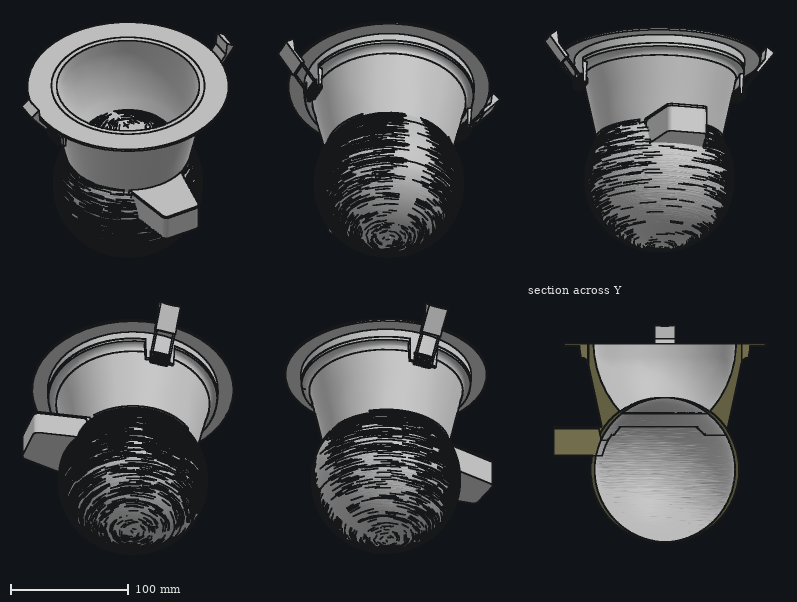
import cadquery as cq
import math


flange_radius = 172.0 / 2
flange_thickness = 2.0
flange_bore_radius = 131.0 / 2
rim_top_radius = 72.9
rim_shoulder_z = -9.2
rim_bottom_radius = 72.0
rim_bottom_z = -12.0
flare_radius = 6.0
flare_lip = 0.2

post_inner_radius = 137.0 / 2
post_tip_inner_radius = 69.0
post_tip_radius = 71.5
post_top_width = 26.3
post_tip_width = 24.7
post_tip_z = -30.0
notch_clearance = 0.2
notch_top_z = -22.0

housing_radius = 130.8 / 2
cone_top_z = rim_bottom_z - flare_radius
cone_bottom_radius = 54.0
cone_bottom_z = -71.0
bowl_mouth_radius = 61.0
bowl_mid_radius = 52.2
bowl_mid_z = -37.0
bowl_hole_radius = 74.7 / 2
bowl_hole_z = -59.1
left_skirt_width = 79.6
right_skirt_width = 58.5

ball_radius = 60.0
ball_half_height = 61.7
ball_bottom_z = -169.5
ball_center_z = ball_bottom_z + ball_half_height

bracket_wall = 3.0
bracket_lid = 1.8
tab_end_x = 95.0
tab_bottom_z = -95.5
tab_end_half_width = 17.0
tab_side_angle = math.radians(10)
tab_corner_radius = 4.8

coil_center_y = 69.7
coil_center_z = -27.7
leg_angle = math.degrees(math.atan2(4, 3))
wire_radius = 1.5 / 2
coil_radius = 3.8
coil_turns = 7
coil_length = 16.0
pad_width = 18.0
pad_start = 24.3
pad_bend = 38.2
pad_end = 48.4
pad_outer_offset = -1.04
pad_inner_offset = 2.2
pad_tip_offset = 8.2
pad_end_hollow = 0.5

notch_width = coil_length + 2 * wire_radius + notch_clearance
tab_height = cone_bottom_z - tab_bottom_z
cone_slope = (housing_radius - cone_bottom_radius) / (cone_top_z - cone_bottom_z)


def cone_radius(z):
    """Outer radius of the housing cone at height z."""
    return cone_bottom_radius + cone_slope * (z - cone_bottom_z)


def revolve_profile(profile):
    """Revolve a closed radius-height profile about the Z axis."""
    return profile.close().revolve(360, (0, 0, 0), (0, 1, 0))


def cone_solid(top_z, bottom_z, offset=0.0):
    """Solid piece of the housing cone, with its radius grown by the offset."""
    return revolve_profile(
        cq.Workplane("XZ")
        .moveTo(0, top_z)
        .lineTo(cone_radius(top_z) + offset, top_z)
        .lineTo(cone_radius(bottom_z) + offset, bottom_z)
        .lineTo(0, bottom_z)
    )


def make_ball():
    """Ball slightly taller than it is wide, turned from a single arc."""
    return revolve_profile(
        cq.Workplane("XZ")
        .moveTo(0, ball_bottom_z)
        .threePointArc((ball_radius, ball_center_z), (0, ball_center_z + ball_half_height))
    )


def make_rim_sleeve():
    """Drafted sleeve around the rim, which ends in two notched tongues on the -Y and +Y sides."""
    sleeve = revolve_profile(
        cq.Workplane("XZ")
        .moveTo(post_inner_radius, -flange_thickness)
        .lineTo(rim_top_radius, -flange_thickness)
        .lineTo(post_tip_radius, post_tip_z)
        .lineTo(post_tip_inner_radius, post_tip_z)
        .lineTo(post_inner_radius, rim_shoulder_z)
    )
    tongues = (
        cq.Workplane("XZ")
        .moveTo(-post_top_width / 2, rim_shoulder_z)
        .lineTo(post_top_width / 2, rim_shoulder_z)
        .lineTo(post_tip_width / 2, post_tip_z)
        .lineTo(-post_tip_width / 2, post_tip_z)
        .close()
        .extrude(flange_radius, both=True)
    )
    tongue_gaps = (
        cq.Workplane("XY", origin=(0, 0, post_tip_z))
        .circle(flange_radius)
        .extrude(rim_shoulder_z - post_tip_z)
        .cut(tongues)
    )
    notch = (
        cq.Workplane("XY", origin=(0, 0, post_tip_z))
        .rect(notch_width, 2 * flange_radius)
        .extrude(notch_top_z - post_tip_z)
    )
    return sleeve.cut(tongue_gaps).cut(notch)


def make_flange():
    """Thin disc with a rim below it, flared in to the bore, inside the sleeve with the spring posts."""
    lip_radius = flange_bore_radius + flare_lip
    flare_center_radius = lip_radius + flare_radius
    flare_middle = flare_radius * math.sqrt(0.5)
    ring = revolve_profile(
        cq.Workplane("XZ")
        .moveTo(flange_bore_radius, 0)
        .lineTo(flange_radius, 0)
        .lineTo(flange_radius, -flange_thickness)
        .lineTo(rim_bottom_radius, -flange_thickness)
        .lineTo(rim_bottom_radius, rim_bottom_z)
        .lineTo(flare_center_radius, rim_bottom_z)
        .threePointArc(
            (flare_center_radius - flare_middle, cone_top_z + flare_middle),
            (lip_radius, cone_top_z),
        )
        .lineTo(flange_bore_radius, cone_top_z)
    )
    return ring.union(make_rim_sleeve())


def make_tab(height):
    """Tapered, round-cornered tab on the +X side, reaching down from the cone bottom."""
    root_half_width = tab_end_half_width + tab_end_x * math.tan(tab_side_angle)
    return (
        cq.Workplane("XY", origin=(0, 0, cone_bottom_z))
        .moveTo(0, -root_half_width)
        .lineTo(tab_end_x, -tab_end_half_width)
        .lineTo(tab_end_x, tab_end_half_width)
        .lineTo(0, root_half_width)
        .close()
        .extrude(-height)
        .edges("|Z and >X")
        .fillet(tab_corner_radius)
    )


def make_bracket():
    """Curved wall around the cone, under a thin lid the size of the tab."""
    wall = make_tab(tab_height).intersect(cone_solid(cone_bottom_z, tab_bottom_z, bracket_wall))
    return wall.union(make_tab(bracket_lid))


def make_skirt_block(width, side):
    """Block that bounds the part of the cone reaching down to the ball on one X side."""
    return (
        cq.Workplane("XY", origin=(side * housing_radius / 2, 0, tab_bottom_z))
        .rect(housing_radius, width)
        .extrude(tab_height)
    )


def make_skirt_gaps():
    """Material to remove below the cone bottom, outside the two skirts."""
    gaps = cq.Workplane("XY", origin=(0, 0, tab_bottom_z)).circle(housing_radius).extrude(tab_height)
    return gaps.cut(make_skirt_block(left_skirt_width, -1)).cut(make_skirt_block(right_skirt_width, 1))


def make_housing(ball):
    """Tapered body with a bowl above, a seat for the ball, two lower skirts and the bracket."""
    collar = cq.Workplane("XY").circle(housing_radius).extrude(cone_top_z)
    bowl = revolve_profile(
        cq.Workplane("XZ")
        .lineTo(bowl_mouth_radius, 0)
        .threePointArc((bowl_mid_radius, bowl_mid_z), (bowl_hole_radius, bowl_hole_z))
        .lineTo(bowl_hole_radius, cone_bottom_z)
        .lineTo(0, cone_bottom_z)
    )
    body = collar.union(cone_solid(cone_top_z, tab_bottom_z)).cut(make_skirt_gaps())
    return body.union(make_bracket()).cut(ball).cut(bowl)


def make_terminal_box(ball):
    """Box that fills the tab under the bracket lid and outside the bracket wall."""
    inner_limit = cone_solid(cone_bottom_z, tab_bottom_z, bracket_wall)
    return make_tab(tab_height).cut(make_tab(bracket_lid)).cut(inner_limit).cut(ball)


def place_on_post(part, turn):
    """Move a part from the leg frame to the +Y post, then turn it about the lamp axis.

    In the leg frame X is the coil axis, Y runs along the legs and Z faces the lamp.
    """
    return (
        part.rotate((0, 0, 0), (1, 0, 0), leg_angle)
        .translate((0, coil_center_y, coil_center_z))
        .rotate((0, 0, 0), (0, 0, 1), turn)
    )


def make_spring():
    """Wire coil along X with a straight leg rising from each end."""
    helix = cq.Wire.makeHelix(coil_length / coil_turns, coil_length, coil_radius)
    coil = (
        cq.Workplane("XZ", origin=(coil_radius, 0, 0))
        .circle(wire_radius)
        .sweep(cq.Workplane(obj=helix), isFrenet=True)
        .rotate((0, 0, 0), (0, 0, 1), 90)
        .rotate((0, 0, 0), (0, 1, 0), 90)
        .translate((-coil_length / 2, 0, 0))
    )
    legs = (
        cq.Workplane("XZ", origin=(0, coil_radius, 0))
        .pushPoints([(-coil_length / 2, 0), (coil_length / 2, 0)])
        .circle(wire_radius)
        .extrude(coil_radius - pad_start)
    )
    return coil.union(legs)


def make_clip_pad():
    """Flat pad on the leg ends, thickened towards a slightly hollow tip."""
    pad = (
        cq.Workplane("YZ")
        .moveTo(pad_start, pad_outer_offset)
        .lineTo(pad_end, pad_outer_offset)
        .lineTo(pad_end, pad_tip_offset)
        .lineTo(pad_bend, pad_inner_offset)
        .lineTo(pad_start, pad_inner_offset)
        .close()
        .extrude(pad_width / 2, both=True)
    )
    hollow = (
        cq.Workplane("XY", origin=(0, 0, pad_outer_offset))
        .moveTo(-pad_width / 2, pad_end)
        .threePointArc((0, pad_end - pad_end_hollow), (pad_width / 2, pad_end))
        .close()
        .extrude(pad_tip_offset - pad_outer_offset)
    )
    return pad.cut(hollow)


ball = make_ball()
flange = make_flange()
housing = make_housing(ball)
terminal_box = make_terminal_box(ball)

springs = []
clip_pads = []
for turn in (0, 180):
    springs.append(place_on_post(make_spring(), turn).val())
    clip_pads.append(place_on_post(make_clip_pad(), turn).val())

result = cq.Compound.makeCompound(
    [flange.val(), housing.val(), ball.val(), terminal_box.val(), *springs, *clip_pads]
)